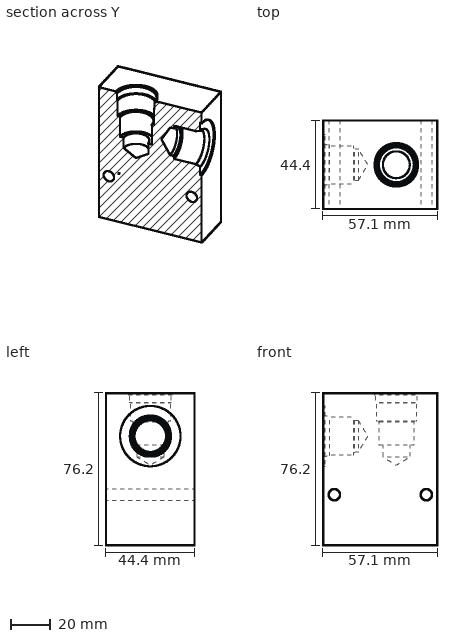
import cadquery as cq
import math

LENGTH = 57.15
WIDTH = 44.4
HEIGHT = 76.2

MOUNT_DIAMETER = 5.6
MOUNT_INSET = 5.6
MOUNT_HEIGHT = 25.4

PORT_Y = WIDTH / 2
DRILL_POINT_ANGLE = 118.0

CAVITY_X = 36.6
CAVITY_MOUTH_DIAMETER = 21.8
CAVITY_MOUTH_DEPTH = 0.9
CAVITY_COLLAR_DIAMETER = 20.65
CAVITY_COLLAR_DEPTH = 4.6
CAVITY_BORE_DIAMETER = 20.0
CAVITY_BORE_DEPTH = 14.0
CAVITY_SEAT_DIAMETER = 18.5
CAVITY_NOSE_DIAMETER = 17.5
CAVITY_NOSE_DEPTH = 25.9
CAVITY_DRILL_DIAMETER = 13.5
CAVITY_DRILL_DEPTH = 32.0

SIDE_PORT_HEIGHT = 54.7
SPOTFACE_DIAMETER = 30.25
SPOTFACE_DEPTH = 0.8
SEAL_MOUTH_DIAMETER = 20.65
SEAL_END_DIAMETER = 19.3
SEAL_END_DEPTH = 3.2
THREAD_DIAMETER = 19.05
THREAD_DEPTH = 15.25
SIDE_STEP_DIAMETER = 17.45
SIDE_DRILL_DIAMETER = 15.85
SIDE_DRILL_DEPTH = 17.5


def cone_length(start_diameter, end_diameter, included_angle):
    """Axial length of a cone between two diameters."""
    return (start_diameter - end_diameter) / 2 / math.tan(math.radians(included_angle / 2))


def stepped_bore(wall):
    """Revolve (diameter, depth) wall points about Z, downwards from Z = 0, ending in a drill point."""
    end_diameter, end_depth = wall[-1]
    tip_depth = end_depth + cone_length(end_diameter, 0, DRILL_POINT_ANGLE)
    outline = [(0, 0)]
    outline += [(diameter / 2, -depth) for diameter, depth in wall]
    outline.append((0, -tip_depth))
    return cq.Workplane("XZ").polyline(outline).close().revolve(360, (0, 0), (0, 1))


def mount_holes():
    centres = [(x, MOUNT_HEIGHT) for x in (MOUNT_INSET, LENGTH - MOUNT_INSET)]
    return cq.Workplane("XZ").pushPoints(centres).circle(MOUNT_DIAMETER / 2).extrude(-WIDTH)


def cavity():
    """Stepped cavity with 45 degree lead-ins to its bore and its nose."""
    collar_lead = cone_length(CAVITY_COLLAR_DIAMETER, CAVITY_BORE_DIAMETER, 90)
    nose_lead = cone_length(CAVITY_SEAT_DIAMETER, CAVITY_NOSE_DIAMETER, 90)
    wall = [
        (CAVITY_MOUTH_DIAMETER, 0),
        (CAVITY_MOUTH_DIAMETER, CAVITY_MOUTH_DEPTH),
        (CAVITY_COLLAR_DIAMETER, CAVITY_MOUTH_DEPTH),
        (CAVITY_COLLAR_DIAMETER, CAVITY_COLLAR_DEPTH),
        (CAVITY_BORE_DIAMETER, CAVITY_COLLAR_DEPTH + collar_lead),
        (CAVITY_BORE_DIAMETER, CAVITY_BORE_DEPTH),
        (CAVITY_SEAT_DIAMETER, CAVITY_BORE_DEPTH),
        (CAVITY_NOSE_DIAMETER, CAVITY_BORE_DEPTH + nose_lead),
        (CAVITY_NOSE_DIAMETER, CAVITY_NOSE_DEPTH),
        (CAVITY_DRILL_DIAMETER, CAVITY_NOSE_DEPTH),
        (CAVITY_DRILL_DIAMETER, CAVITY_DRILL_DEPTH),
    ]
    return stepped_bore(wall).translate((CAVITY_X, PORT_Y, HEIGHT))


def side_port():
    """Spotface, tapered seal seat, thread bore and drilled end, running along +X."""
    step_lead = cone_length(SIDE_STEP_DIAMETER, SIDE_DRILL_DIAMETER, DRILL_POINT_ANGLE)
    wall = [
        (SPOTFACE_DIAMETER, 0),
        (SPOTFACE_DIAMETER, SPOTFACE_DEPTH),
        (SEAL_MOUTH_DIAMETER, SPOTFACE_DEPTH),
        (SEAL_END_DIAMETER, SEAL_END_DEPTH),
        (THREAD_DIAMETER, SEAL_END_DEPTH),
        (THREAD_DIAMETER, THREAD_DEPTH),
        (SIDE_STEP_DIAMETER, THREAD_DEPTH),
        (SIDE_DRILL_DIAMETER, THREAD_DEPTH + step_lead),
        (SIDE_DRILL_DIAMETER, SIDE_DRILL_DEPTH),
    ]
    along_x = stepped_bore(wall).rotate((0, 0, 0), (0, 1, 0), -90)
    return along_x.translate((0, PORT_Y, SIDE_PORT_HEIGHT))


block = cq.Workplane("XY").box(LENGTH, WIDTH, HEIGHT, centered=False)
result = block.cut(mount_holes()).cut(cavity()).cut(side_port())